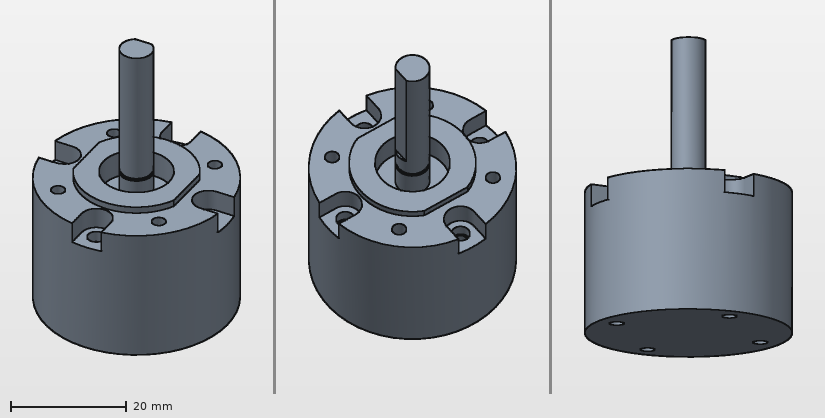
import cadquery as cq

total_height = 52.0
body_diameter = 36.0
body_height = 25.0

boss_diameter = 22.0
boss_flat_width = 20.0
boss_top = 26.25
bore_diameter = 13.0
bore_depth = 4.9

shaft_diameter = 6.0
neck_diameter = 5.45
neck_length = 0.25
shaft_start = boss_top + neck_length
shaft_chamfer = (shaft_diameter - neck_diameter) / 2
shaft_flat_offset = 2.5
shaft_flat_start = 30.0

slot_count = 4
slot_width = 5.8
slot_depth = 3.95
slot_radius = 14.3
screw_hole_diameter = 2.55
screw_head_diameter = 3.2
screw_head_depth = 2.1

mount_pitch = 20.0
mount_hole_diameter = 2.5
mount_hole_depth = 5.2
drill_point_height = 0.75


def cylinder(diameter, bottom, top):
    return cq.Workplane("XY").workplane(offset=bottom).circle(diameter / 2).extrude(top - bottom)


def make_housing():
    body = cylinder(body_diameter, 0, body_height)
    boss = cylinder(boss_diameter, body_height, boss_top)
    flats = cq.Workplane("XY").box(boss_flat_width, boss_diameter, 2 * boss_top)
    bore = cylinder(bore_diameter, boss_top - bore_depth, boss_top)
    return body.union(boss.intersect(flats)).cut(bore)


def make_shaft():
    base = cylinder(shaft_diameter, boss_top - bore_depth, boss_top)
    neck = cylinder(neck_diameter, boss_top, shaft_start)
    shaft = cylinder(shaft_diameter, shaft_start, total_height).faces("<Z").chamfer(shaft_chamfer)
    flat_cut = (
        cq.Workplane("XY")
        .workplane(offset=shaft_flat_start)
        .center(0, shaft_flat_offset + shaft_diameter / 2)
        .rect(shaft_diameter, shaft_diameter)
        .extrude(total_height - shaft_flat_start)
    )
    return base.union(neck).union(shaft.cut(flat_cut))


def make_slot_cutter():
    """Slot along +X, open at the rim, with its stepped screw hole."""
    slot_floor = body_height - slot_depth
    rounded_end = cylinder(slot_width, slot_floor, body_height).translate((slot_radius, 0, 0))
    channel_length = body_diameter / 2 - slot_radius
    channel = (
        cq.Workplane("XY")
        .workplane(offset=slot_floor)
        .center(slot_radius + channel_length / 2, 0)
        .rect(channel_length, slot_width)
        .extrude(slot_depth)
    )
    screw_hole = cylinder(screw_hole_diameter, 0, slot_floor)
    head_recess = cylinder(screw_head_diameter, slot_floor - screw_head_depth, slot_floor)
    hole = screw_hole.union(head_recess).translate((slot_radius, 0, 0))
    return rounded_end.union(channel).union(hole)


def make_mount_hole_cutter():
    """Drilled hole on the Z axis, pointed at its lower end."""
    radius = mount_hole_diameter / 2
    cone_top = body_height - mount_hole_depth
    return (
        cq.Workplane("XZ")
        .moveTo(0, body_height)
        .lineTo(radius, body_height)
        .lineTo(radius, cone_top)
        .lineTo(0, cone_top - drill_point_height)
        .close()
        .revolve(360, (0, 0), (0, 1))
    )


result = make_housing().union(make_shaft())

for index in range(slot_count):
    angle = index * 360 / slot_count
    result = result.cut(make_slot_cutter().rotate((0, 0, 0), (0, 0, 1), angle))

for x_side in (-1, 1):
    for y_side in (-1, 1):
        corner = (x_side * mount_pitch / 2, y_side * mount_pitch / 2, 0)
        result = result.cut(make_mount_hole_cutter().translate(corner))